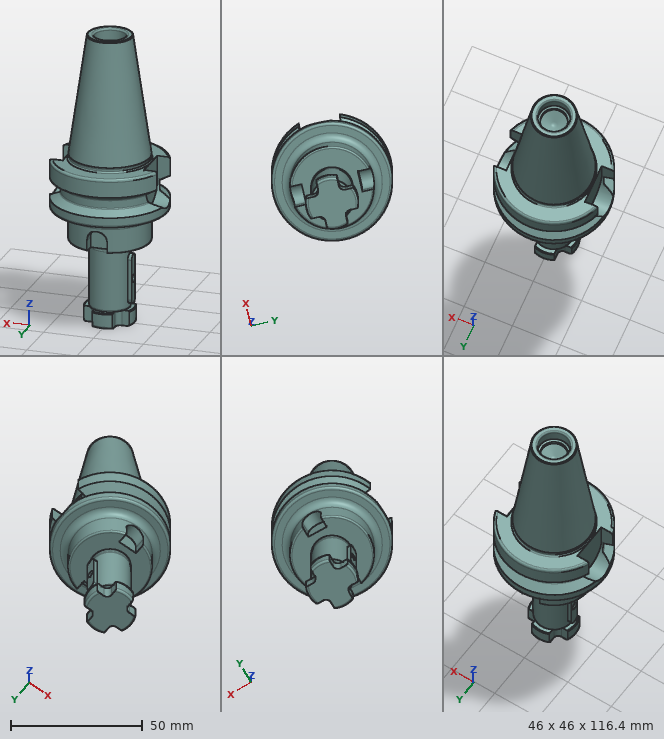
import cadquery as cq
import math

total_height = 116.4
gauge_height = 68.0
flange_top = 66.0
groove_top = 56.2
groove_bottom = 52.6
flange_bottom = 46.1
face_height = 33.2

gauge_diameter = 31.8
gauge_radius = gauge_diameter / 2
taper_slope = 7 / 48
taper_top_radius = gauge_radius - (total_height - gauge_height) * taper_slope
taper_top_chamfer = 0.3
taper_neck_radius = 15.7
taper_neck_bevel = 0.6
taper_neck_root_round = 0.6

flange_diameter = 46.0
flange_radius = flange_diameter / 2
groove_radius = 19.0
flange_edge_round = 1.0
groove_corner_round = 0.5
groove_flank_angle = 30
groove_flank = (flange_radius - groove_radius) * math.tan(math.radians(groove_flank_angle))

spindle_slot_width = 16.1
spindle_slot_floor = 16.3
spindle_slot_bottom = 48.8

body_diameter = 32.0
body_radius = body_diameter / 2
body_edge_round = 0.7
body_root_round = 3.0
drive_slot_width = 8.0
drive_slot_top = 41.8
drive_slot_floor = 10.9

pilot_radius = 8.0
pilot_chamfer_height = 0.7
pilot_chamfer_depth = 0.1
relief_radius = 7.9
relief_top = 32.5
relief_bottom = 31.5
relief_end = 30.8

head_height = 6.3
head_radius = 10.0
head_edge_round = 0.9
head_top_chamfer = 0.3
lobe_width = 8.0
lobe_root_round = 2.1

key_angle = 180
key_width = 4.1
key_length = 20.3
key_center_height = 18.2
key_outer_face = 9.4
key_screw_radius = 0.8
key_sink_radius = 1.5
key_sink_depth = 0.7

bore_radius = 6.3
bore_mouth_radius = 7.0
bore_step_height = 0.3
bore_depth = 4.9
core_radius = 5.2
core_depth = 6.4
drill_tip_angle = 31
drill_tip_slope = math.tan(math.radians(drill_tip_angle))

selection_margin = 0.1


def make_body():
    """Taper, flange, body and pilot turned as one profile."""
    turned = (
        cq.Workplane("XZ")
        .moveTo(0, head_height)
        .lineTo(pilot_radius - pilot_chamfer_depth, head_height)
        .lineTo(pilot_radius, head_height + pilot_chamfer_height)
        .lineTo(pilot_radius, relief_end)
        .lineTo(relief_radius, relief_bottom)
        .lineTo(relief_radius, relief_top)
        .lineTo(pilot_radius, face_height)
        .lineTo(body_radius - body_edge_round, face_height)
        .radiusArc((body_radius, face_height + body_edge_round), -body_edge_round)
        .lineTo(body_radius, flange_bottom - body_root_round)
        .radiusArc((body_radius + body_root_round, flange_bottom), body_root_round)
        .lineTo(flange_radius - flange_edge_round, flange_bottom)
        .radiusArc((flange_radius, flange_bottom + flange_edge_round), -flange_edge_round)
        .lineTo(flange_radius, groove_bottom - groove_flank)
        .lineTo(groove_radius, groove_bottom)
        .lineTo(groove_radius, groove_top)
        .lineTo(flange_radius, groove_top + groove_flank)
        .lineTo(flange_radius, flange_top - flange_edge_round)
        .radiusArc((flange_radius - flange_edge_round, flange_top), -flange_edge_round)
        .lineTo(taper_neck_radius + taper_neck_root_round, flange_top)
        .radiusArc((taper_neck_radius, flange_top + taper_neck_root_round), taper_neck_root_round)
        .lineTo(taper_neck_radius, gauge_height - taper_neck_bevel)
        .lineTo(gauge_radius, gauge_height)
        .lineTo(taper_top_radius + taper_top_chamfer * taper_slope, total_height - taper_top_chamfer)
        .lineTo(taper_top_radius - taper_top_chamfer, total_height)
        .lineTo(0, total_height)
        .close()
        .revolve(360, (0, 0), (0, 1))
    )
    groove_corners = cq.selectors.BoxSelector(
        (-selection_margin, -selection_margin, groove_bottom - selection_margin),
        (selection_margin, selection_margin, groove_top + selection_margin),
    )
    return turned.edges("%CIRCLE").edges(groove_corners).fillet(groove_corner_round)


def round_ended_slot(workplane, center_height, width, length, depth):
    """Upright bar with round ends, extruded outward by depth."""
    return workplane.center(0, center_height).slot2D(length, width, 90).extrude(depth)


def side_plane(angle, distance):
    """Plane facing outward at an angle about Z, local X horizontal and local Y along +Z."""
    direction = math.radians(angle)
    outward = (math.cos(direction), math.sin(direction), 0)
    sideways = (-math.sin(direction), math.cos(direction), 0)
    origin = tuple(distance * part for part in outward)
    return cq.Workplane(cq.Plane(origin=origin, xDir=sideways, normal=outward))


def spindle_slot(angle):
    """Cutter for one flange slot, open at the flange top."""
    length = flange_top - spindle_slot_bottom + spindle_slot_width / 2
    return round_ended_slot(
        side_plane(angle, spindle_slot_floor),
        spindle_slot_bottom + length / 2,
        spindle_slot_width,
        length,
        flange_radius - spindle_slot_floor,
    )


def drive_slot(angle):
    """Cutter for one slot in the body, open at the body face."""
    length = drive_slot_top - face_height + drive_slot_width / 2
    return round_ended_slot(
        side_plane(angle, drive_slot_floor),
        drive_slot_top - length / 2,
        drive_slot_width,
        length,
        flange_radius - drive_slot_floor,
    )


def make_head():
    """Round head cut at four corners into a cross of lobes."""
    disc = cq.Workplane("XY").circle(head_radius).extrude(head_height)
    disc = disc.faces("<Z").edges().fillet(head_edge_round)
    disc = disc.faces(">Z").edges().chamfer(head_top_chamfer)
    cross = (
        cq.Workplane("XY")
        .rect(2 * head_radius, lobe_width)
        .extrude(head_height)
        .union(cq.Workplane("XY").rect(lobe_width, 2 * head_radius).extrude(head_height))
    )
    inner = lobe_width / 2 + selection_margin
    inner_corners = cq.selectors.BoxSelector(
        (-inner, -inner, 0),
        (inner, inner, head_height),
    )
    cross = cross.edges("|Z").edges(inner_corners).fillet(lobe_root_round)
    return disc.intersect(cross)


def make_key():
    """Solid feather key on the -X side, reaching in to the tool axis."""
    return round_ended_slot(
        side_plane(key_angle, 0),
        key_center_height,
        key_width,
        key_length,
        key_outer_face,
    )


def key_hole():
    """Cutter for the countersunk hole through the key."""
    return (
        side_plane(key_angle, key_outer_face)
        .center(0, key_center_height)
        .circle(key_sink_radius)
        .workplane(offset=-key_sink_depth)
        .circle(key_screw_radius)
        .loft()
        .union(
            side_plane(key_angle, pilot_radius)
            .center(0, key_center_height)
            .circle(key_screw_radius)
            .extrude(key_outer_face - pilot_radius)
        )
    )


def taper_bore():
    """Cutter for the blind stepped bore with a rounded mouth, conical step and drill tip."""
    mouth_round = bore_mouth_radius - bore_radius
    mouth_bottom = total_height - mouth_round
    step_top = total_height - bore_depth
    step_bottom = step_top - bore_step_height
    core_bottom = total_height - core_depth
    return (
        cq.Workplane("XZ")
        .moveTo(0, total_height)
        .lineTo(bore_mouth_radius, total_height)
        .radiusArc((bore_radius, mouth_bottom), -mouth_round)
        .lineTo(bore_radius, step_top)
        .lineTo(core_radius, step_bottom)
        .lineTo(core_radius, core_bottom)
        .lineTo(0, core_bottom - core_radius * drill_tip_slope)
        .close()
        .revolve(360, (0, 0), (0, 1))
    )


holder = make_body()
for slot_angle in (0, 180):
    holder = holder.cut(spindle_slot(slot_angle))
for slot_angle in (90, 270):
    holder = holder.cut(drive_slot(slot_angle))
holder = holder.cut(taper_bore())
holder = holder.union(make_head()).union(make_key())
result = holder.cut(key_hole())